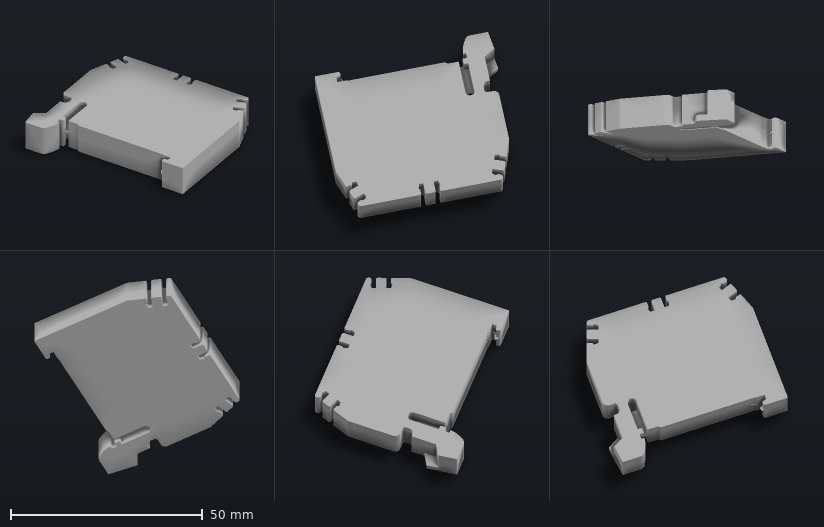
import cadquery as cq
import math

thickness = 8.0
right_x = 47.8
top_y = 41.5
left_x = 1.7
middle_x = (left_x + right_x) / 2
floor_y = 6.1

shoulder_y = 30.6
shoulder_radius = 1.9
shoulder_tilt = 20.0
shoulder_run = (top_y - shoulder_y) * math.tan(math.radians(shoulder_tilt))
side_tab_distance = 7.75

tab_width = 2.7
slot_width = 1.2
slot_depth = 3.05
undercut_start = 1.5
undercut_peak = 1.95
undercut = 0.45
tab_radius = 0.4
lip_radius = 0.7

wall_radius = 1.4
groove_top_y = 16.6
groove_bottom_y = 13.55
groove_end_x = 5.3
groove_upper_radius = 0.8
groove_lower_radius = 1.4
slot_left_x = 7.85
slot_right_x = 10.25
slot_top_y = groove_top_y
slot_radius = (slot_right_x - slot_left_x) / 2

foot_left_x = 3.3
foot_bottom_left_x = 1.05
foot_bottom_right_x = 5.85
foot_slope = 30.0
ledge_thickness = 1.63
ledge_tip_y = 8.05
ledge_radius = 0.9
toe_top_y = 4.95
toe_left_x = foot_bottom_left_x * (1 - toe_top_y / ledge_tip_y)
catch_right_x = 9.05
catch_top_y = 7.65
catch_bottom_y = 6.05
catch_radius = 0.45
lower_jaw_x = 8.65
lower_jaw_y = 4.75
lower_jaw_height = 0.35
jaw_side = (8.23, 2.7)
jaw_bend = (7.45, 1.15)
jaw_bottom = (6.9, 0.35)
bottom_corner_radius = 0.3

raised_floor_y = 6.65
raised_floor_end_x = 13.1
raised_floor_slope_run = 0.65

drop_start_x = 39.6
drop_run = 0.35
drop = 0.15
hook_inner_x = 42.35
hook_inner_y = 4.75
hook_tip_x = 41.15
hook_tip_y = 4.35
hook_bottom_y = 3.2
hook_tip_chamfer = 0.35

web_thickness = 0.53
web_z = (thickness - web_thickness) / 2
web_top_y = 14.55
web_bottom_y = 6.75
web_margin = 0.5
hook_web_offset = 0.35
web_nose_x = 40.45
web_nose_y = 4.35
web_nose_top = (40.65, 4.6)
web_nose_bottom = (40.9, 3.6)
bump_start_x = 38.4
bump_height = 0.2
tooth_width = 0.2
tooth_bottom_y = 5.8


def prism(points, height, base_z=0.0):
    """Straight-sided polygon standing on the plane z = base_z."""
    return cq.Workplane("XY", origin=(0, 0, base_z)).polyline(points).close().extrude(height)


def round_corners(body, points, radius):
    """Round the upright edges standing at the given points."""
    for x, y in points:
        corner = cq.selectors.NearestToPointSelector((x, y, thickness / 2))
        body = body.edges("|Z").edges(corner).fillet(radius)
    return body


def place(points, origin, angle):
    """Move points given across and outward from a tab face to the plate."""
    cosine = math.cos(math.radians(angle))
    sine = math.sin(math.radians(angle))
    return [
        (origin[0] + across * cosine - out * sine, origin[1] + across * sine + out * cosine)
        for across, out in points
    ]


def cut_tab(body, origin, angle, lip_radii):
    """Cut the two slots that leave a tab; lip_radii are for the lips at the two sides."""
    inner = tab_width / 2
    outer = inner + slot_width
    clearance = 0.5
    for side in (-1, 1):
        slot = [
            (side * inner, clearance),
            (side * inner, -slot_depth),
            (side * outer, -slot_depth),
            (side * (outer + undercut), -undercut_peak),
            (side * outer, -undercut_start),
            (side * outer, clearance),
        ]
        body = body.cut(prism(place(slot, origin, angle), thickness))
    body = round_corners(body, place([(-inner, 0), (inner, 0)], origin, angle), tab_radius)
    for across, radius in zip((-outer, outer), lip_radii):
        body = round_corners(body, place([(across, 0)], origin, angle), radius)
    return body


def make_plate():
    """Full-thickness outline of housing, foot and hook, with rounded corners."""
    slope = math.tan(math.radians(foot_slope))
    foot_neck_y = toe_top_y + (foot_left_x - toe_left_x) * slope
    low_floor_y = floor_y - drop
    outline = (
        cq.Workplane("XY")
        .moveTo(left_x, shoulder_y)
        .lineTo(left_x + shoulder_run, top_y)
        .lineTo(right_x - shoulder_run, top_y)
        .lineTo(right_x, shoulder_y)
        .lineTo(right_x, hook_bottom_y)
        .lineTo(hook_tip_x + hook_tip_chamfer, hook_bottom_y)
        .lineTo(hook_tip_x, hook_bottom_y + hook_tip_chamfer)
        .lineTo(hook_tip_x, hook_tip_y)
        .lineTo(hook_inner_x, hook_inner_y)
        .lineTo(hook_inner_x, low_floor_y)
        .lineTo(drop_start_x + drop_run, low_floor_y)
        .lineTo(drop_start_x, floor_y)
        .lineTo(raised_floor_end_x + raised_floor_slope_run, floor_y)
        .lineTo(raised_floor_end_x, raised_floor_y)
        .lineTo(slot_right_x, raised_floor_y)
        .lineTo(slot_right_x, slot_top_y - slot_radius)
        .threePointArc(
            (slot_right_x - slot_radius, slot_top_y),
            (slot_left_x, slot_top_y - slot_radius),
        )
        .lineTo(slot_left_x, catch_top_y)
        .lineTo(catch_right_x, catch_top_y)
        .lineTo(catch_right_x, catch_bottom_y)
        .lineTo(slot_left_x, catch_bottom_y)
        .lineTo(slot_left_x, lower_jaw_y)
        .lineTo(lower_jaw_x, lower_jaw_y)
        .lineTo(lower_jaw_x, lower_jaw_y - lower_jaw_height)
        .threePointArc(jaw_side, jaw_bend)
        .threePointArc(jaw_bottom, (foot_bottom_right_x, 0))
        .lineTo(foot_bottom_left_x, 0)
        .lineTo(toe_left_x, toe_top_y)
        .lineTo(foot_left_x, foot_neck_y)
        .lineTo(foot_left_x, groove_bottom_y)
        .lineTo(groove_end_x, groove_bottom_y)
        .lineTo(groove_end_x, groove_top_y)
        .lineTo(left_x, groove_top_y)
        .close()
    )
    plate = outline.extrude(thickness)
    plate = round_corners(plate, [(left_x, shoulder_y), (right_x, shoulder_y)], shoulder_radius)
    plate = round_corners(plate, [(left_x, groove_top_y)], wall_radius)
    plate = round_corners(plate, [(groove_end_x, groove_top_y)], groove_upper_radius)
    plate = round_corners(plate, [(groove_end_x, groove_bottom_y)], groove_lower_radius)
    plate = round_corners(plate, [(catch_right_x, catch_top_y)], catch_radius)
    bottom_corners = [(foot_bottom_left_x, 0), (right_x, hook_bottom_y)]
    return round_corners(plate, bottom_corners, bottom_corner_radius)


def cut_marker_tabs(plate):
    """Middle tab on the top edge and one tab on each sloped shoulder."""
    tilt = math.radians(shoulder_tilt)
    side_tab_x = side_tab_distance * math.sin(tilt)
    side_tab_y = shoulder_y + side_tab_distance * math.cos(tilt)
    side_angle = 90 - shoulder_tilt
    plate = cut_tab(plate, (middle_x, top_y), 0, (tab_radius, tab_radius))
    plate = cut_tab(plate, (left_x + side_tab_x, side_tab_y), side_angle, (tab_radius, lip_radius))
    plate = cut_tab(plate, (right_x - side_tab_x, side_tab_y), -side_angle, (lip_radius, tab_radius))
    upper_corners = [(left_x + shoulder_run, top_y), (right_x - shoulder_run, top_y)]
    return round_corners(plate, upper_corners, lip_radius)


def make_ledge():
    """Low ledge on the outside of the foot."""
    slope = math.radians(foot_slope)
    neck_y = ledge_tip_y + foot_left_x * math.tan(slope)
    half_turn = (math.pi / 2 - slope) / 2
    tangent = ledge_radius * math.tan(half_turn)
    center_x = foot_left_x - ledge_radius
    center_y = neck_y + tangent
    arc_middle = (
        center_x + ledge_radius * math.cos(half_turn),
        center_y - ledge_radius * math.sin(half_turn),
    )
    return (
        cq.Workplane("XY")
        .moveTo(0, ledge_tip_y)
        .lineTo(foot_left_x - tangent * math.cos(slope), neck_y - tangent * math.sin(slope))
        .threePointArc(arc_middle, (foot_left_x, center_y))
        .lineTo(foot_left_x, toe_top_y)
        .lineTo(toe_left_x, toe_top_y)
        .close()
        .extrude(ledge_thickness)
    )


def make_slot_web():
    """Web closing most of the slot behind the foot."""
    points = [
        (slot_left_x - web_margin, web_top_y),
        (slot_right_x + web_margin, web_top_y),
        (slot_right_x + web_margin, web_bottom_y),
        (slot_left_x + web_margin, web_bottom_y),
        (slot_left_x - web_margin, catch_top_y),
    ]
    return prism(points, web_thickness, web_z)


def make_hook_web():
    """Web standing proud of the hook, ending in a blunt nose."""
    points = [
        (hook_inner_x - hook_web_offset, floor_y),
        (hook_inner_x - hook_web_offset, hook_inner_y + hook_web_offset),
        web_nose_top,
        (web_nose_x, web_nose_y),
        web_nose_bottom,
        (hook_tip_x + web_margin, web_nose_bottom[1]),
        (hook_tip_x + web_margin, hook_tip_y),
        (hook_inner_x + web_margin, hook_inner_y),
        (hook_inner_x + web_margin, floor_y),
    ]
    return prism(points, web_thickness, web_z)


def make_floor_bump():
    """Shallow rounded bump of the web below the floor."""
    return (
        cq.Workplane("XY", origin=(0, 0, web_z))
        .moveTo(bump_start_x, floor_y)
        .threePointArc(
            ((bump_start_x + drop_start_x) / 2, floor_y - bump_height),
            (drop_start_x, floor_y),
        )
        .lineTo(drop_start_x, floor_y + web_margin)
        .lineTo(bump_start_x, floor_y + web_margin)
        .close()
        .extrude(web_thickness)
    )


def make_floor_tooth():
    """Tiny tooth of the web at the end of the bump."""
    tooth_right_x = drop_start_x + drop_run
    tooth_left_x = tooth_right_x - tooth_width
    points = [
        (tooth_left_x, tooth_bottom_y),
        (tooth_right_x, tooth_bottom_y),
        (tooth_right_x, floor_y + web_margin),
        (tooth_left_x, floor_y + web_margin),
    ]
    return prism(points, web_thickness, web_z)


result = cut_marker_tabs(make_plate())
additions = (
    make_ledge(),
    make_slot_web(),
    make_hook_web(),
    make_floor_bump(),
    make_floor_tooth(),
)
for addition in additions:
    result = result.union(addition)